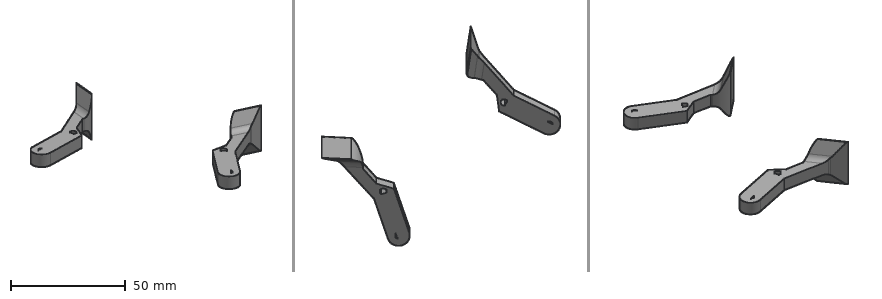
import cadquery as cq
import math

LEAN = 22.0
END_RADIUS = 4.86
END_X = 42.33
END_Y = -24.0
HOLE_SPACING = 22.3
HOLE_RADIUS = 1.5
PIVOT_FLAT = 0.9
END_FLAT = 0.85

OUTER_ELBOW_Y = -3.5
INNER_ELBOW_Y = -5.2
WAIST_X = 33.8
WAIST_LOW_Y = 1.5
WAIST_HIGH_Y = 10.7
NECK_X = 39.5
NECK_Y = 20.7
NECK_BLEND = 3.8

TIP_X = 41.86
TIP_Y = 29.2
FACE_ANGLE = 42.5
FACE_END_X = 32.4
HEEL_MID = (31.67, 16.8)
HEEL_END = (33.3, 11.3)
JAW_HEIGHT = 21.8
LIP = 0.5
FLARE_ANGLE = 59.5
FLARE_BLEND = 4.0

ARM_THICKNESS = 6.1
ARM_OFFSET = 0.14

TURNED_SHIFT_Y = -0.4

REACH = 75.5

lean = math.radians(LEAN)
face = math.radians(FACE_ANGLE)
outward = cq.Vector(math.cos(lean), math.sin(lean))
along = cq.Vector(-math.sin(lean), math.cos(lean))
end_center = cq.Vector(END_X, END_Y)


def side_point_at(side, y):
    """Point at the given y on the outer (+1) or inner (-1) long side."""
    start = end_center + outward * (side * END_RADIUS)
    return start + along * ((y - start.y) / along.y)


def plan_prism():
    """Complete plan outline, as tall as the jaw."""
    outer_end = end_center + outward * END_RADIUS
    inner_end = end_center - outward * END_RADIUS
    face_end_y = TIP_Y - (TIP_X - FACE_END_X) * math.tan(face)
    prism = (
        cq.Workplane("XY", origin=(0, 0, -JAW_HEIGHT / 2))
        .moveTo(TIP_X, TIP_Y)
        .lineTo(NECK_X, NECK_Y)
        .lineTo(*side_point_at(1, OUTER_ELBOW_Y).toTuple()[:2])
        .lineTo(outer_end.x, outer_end.y)
        .threePointArc((end_center - along * END_RADIUS).toTuple()[:2], (inner_end.x, inner_end.y))
        .lineTo(*side_point_at(-1, INNER_ELBOW_Y).toTuple()[:2])
        .lineTo(WAIST_X, WAIST_LOW_Y)
        .lineTo(WAIST_X, WAIST_HIGH_Y)
        .lineTo(*HEEL_END)
        .threePointArc(HEEL_MID, (FACE_END_X, face_end_y))
        .close()
        .extrude(JAW_HEIGHT)
    )
    neck_edge = cq.selectors.NearestToPointSelector((NECK_X, NECK_Y, 0))
    return prism.edges("|Z").edges(neck_edge).fillet(NECK_BLEND)


def section_prism():
    """Flared jaw and flat arm section, swept parallel to the jaw face."""
    half_height = JAW_HEIGHT / 2
    arm_top = ARM_OFFSET + ARM_THICKNESS / 2
    arm_bottom = ARM_OFFSET - ARM_THICKNESS / 2
    run_per_rise = 1 / math.tan(math.radians(FLARE_ANGLE))
    top_root = LIP + (half_height - arm_top) * run_per_rise
    bottom_root = LIP + (half_height + arm_bottom) * run_per_rise
    plane = cq.Plane(
        origin=(TIP_X, TIP_Y, 0),
        xDir=(math.sin(face), -math.cos(face), 0),
        normal=(-math.cos(face), -math.sin(face), 0),
    )
    prism = (
        cq.Workplane(plane)
        .polyline([
            (0, -half_height),
            (LIP, -half_height),
            (bottom_root, arm_bottom),
            (REACH, arm_bottom),
            (REACH, arm_top),
            (top_root, arm_top),
            (LIP, half_height),
            (0, half_height),
        ])
        .close()
        .extrude(REACH, both=True)
    )
    for root in [(top_root, arm_top), (bottom_root, arm_bottom)]:
        root_edge = cq.selectors.NearestToPointSelector(plane.toWorldCoords(root))
        prism = prism.edges(root_edge).fillet(FLARE_BLEND)
    return prism


def flatted_hole(center, open_direction, flat_distance):
    """Through-hole cutter whose flat lies at flat_distance along open_direction."""
    hole = cq.Workplane("XY").center(center.x, center.y).circle(HOLE_RADIUS).extrude(JAW_HEIGHT, both=True)
    plane = cq.Plane(
        origin=(center + open_direction * flat_distance).toTuple(),
        xDir=open_direction.toTuple(),
        normal=(0, 0, 1),
    )
    keep = cq.Workplane(plane).box(
        2 * HOLE_RADIUS, 2 * HOLE_RADIUS, 2 * JAW_HEIGHT, centered=(False, True, True)
    )
    return hole.intersect(keep)


def make_lever():
    pivot_center = end_center + along * HOLE_SPACING
    return (
        plan_prism()
        .intersect(section_prism())
        .cut(flatted_hole(pivot_center, along, -PIVOT_FLAT))
        .cut(flatted_hole(end_center, outward, END_FLAT))
    )


levers = []
for turn, shift_y in [(0, 0), (180, TURNED_SHIFT_Y)]:
    lever = make_lever().rotate((0, 0, 0), (0, 1, 0), turn).translate((0, shift_y, 0))
    levers.append(lever.val())

result = cq.Compound.makeCompound(levers)